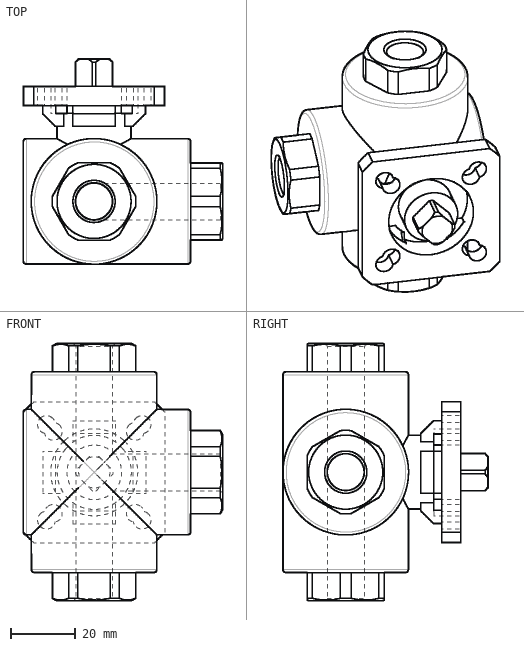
import cadquery as cq

import math

body_diameter = 39.0
body_half_height = 31.2
blind_end_x = -22.0
port_face_x = 30.0
body_edge_radius = 1.0

port_reach = 40.0
hex_across_flats = 24.0
hex_corner_diameter = 26.0
hex_end_diameter = 23.0
hex_chamfer_depth = 0.8
bore_diameter = 11.4
bore_mouth_diameter = 13.1
bore_mouth_depth = (bore_mouth_diameter - bore_diameter) / 2

plate_width = 43.8
plate_corner_diameter = 57.6
plate_thickness = 6.0
plate_outer_y = 35.8
plate_inner_y = plate_outer_y - plate_thickness
mount_hole_diameter = 5.5
mount_circle_diameters = (36.0, 42.0)

stem_end_y = 44.2
stem_corner_diameter = 11.6
stem_across_flats = 9.0
stem_chamfer = 1.0

neck_diameter = 23.0
clip_width = 13.1
clip_reach = 16.0
clip_height = 6.5
clip_bevel = 4.0
gap_inner_diameter = 17.0
gap_outer_diameter = 27.0
gap_depth_below_plate = 2.4


def across_y(y):
    """Workplane square to the Y axis at height y, facing +Y."""
    return cq.Workplane(cq.Plane(origin=(0, y, 0), xDir=(1, 0, 0), normal=(0, 1, 0)))


def make_body():
    upright = cq.Workplane("XY").circle(body_diameter / 2).extrude(body_half_height, both=True)
    crossing = (
        cq.Workplane("YZ", origin=(blind_end_x, 0, 0))
        .circle(body_diameter / 2)
        .extrude(port_face_x - blind_end_x)
    )
    upright = upright.edges("%CIRCLE").fillet(body_edge_radius)
    crossing = crossing.edges("%CIRCLE").fillet(body_edge_radius)
    return upright.union(crossing)


def make_port():
    """Hexagon along +Z from the body centre, corners along X, turned down and chamfered at its end."""
    across_corners = hex_across_flats / math.cos(math.pi / 6)
    hexagon = cq.Workplane("XY").polygon(6, across_corners).extrude(port_reach)
    half_profile = [
        (0, 0),
        (hex_corner_diameter / 2, 0),
        (hex_corner_diameter / 2, port_reach - hex_chamfer_depth),
        (hex_end_diameter / 2, port_reach),
        (0, port_reach),
    ]
    envelope = cq.Workplane("XZ").polyline(half_profile).close().revolve(360, (0, 0), (0, 1))
    return hexagon.intersect(envelope)


def make_bore():
    """Bore along +Z from the body centre, widened by a 45 degree chamfer at its mouth."""
    half_profile = [
        (0, 0),
        (bore_diameter / 2, 0),
        (bore_diameter / 2, port_reach - bore_mouth_depth),
        (bore_mouth_diameter / 2, port_reach),
        (0, port_reach),
    ]
    return cq.Workplane("XZ").polyline(half_profile).close().revolve(360, (0, 0), (0, 1))


def at_every_port(shape):
    """Copies of a +Z shape turned to the +Z, -Z and +X ports, joined together."""
    joined = shape
    for angle in (90, 180):
        joined = joined.union(shape.rotate((0, 0, 0), (0, 1, 0), angle))
    return joined


def make_neck():
    """Neck with a clip on each of its four sides."""
    clip_bottom_y = plate_inner_y - clip_height
    clip_profile = [
        (0, plate_inner_y),
        (0, clip_bottom_y),
        (clip_reach - clip_bevel, clip_bottom_y),
        (clip_reach, clip_bottom_y + clip_bevel),
        (clip_reach, plate_inner_y),
    ]
    clip = cq.Workplane("XY").polyline(clip_profile).close().extrude(clip_width / 2, both=True)
    neck = across_y(0).circle(neck_diameter / 2).extrude(plate_inner_y)
    for quarter in range(4):
        neck = neck.union(clip.rotate((0, 0, 0), (0, 1, 0), 90 * quarter))
    return neck


def make_plate():
    square = across_y(plate_inner_y).rect(plate_width, plate_width).extrude(plate_thickness)
    disc = across_y(plate_inner_y).circle(plate_corner_diameter / 2).extrude(plate_thickness)
    plate = square.intersect(disc)
    for circle_diameter in mount_circle_diameters:
        hole_pitch = circle_diameter / math.sqrt(2)
        holes = (
            across_y(plate_inner_y)
            .rect(hole_pitch, hole_pitch, forConstruction=True)
            .vertices()
            .circle(mount_hole_diameter / 2)
            .extrude(plate_thickness)
        )
        plate = plate.cut(holes)
    return plate


def make_ring_gap():
    """Ring through the plate and a little below it, leaving a hub around the stem."""
    return (
        across_y(plate_inner_y - gap_depth_below_plate)
        .circle(gap_outer_diameter / 2)
        .circle(gap_inner_diameter / 2)
        .extrude(plate_thickness + gap_depth_below_plate)
    )


def make_stem():
    stem_height = stem_end_y - plate_inner_y
    square = (
        across_y(plate_inner_y)
        .rect(stem_across_flats, stem_across_flats)
        .extrude(stem_height)
        .rotate((0, 0, 0), (0, 1, 0), 45)
    )
    envelope = (
        across_y(plate_inner_y)
        .circle(stem_corner_diameter / 2)
        .extrude(stem_height)
        .faces(">Y")
        .chamfer(stem_chamfer)
    )
    return square.intersect(envelope)


result = (
    make_body()
    .union(at_every_port(make_port()))
    .union(make_neck())
    .union(make_plate())
    .cut(make_ring_gap())
    .union(make_stem())
    .cut(at_every_port(make_bore()))
)